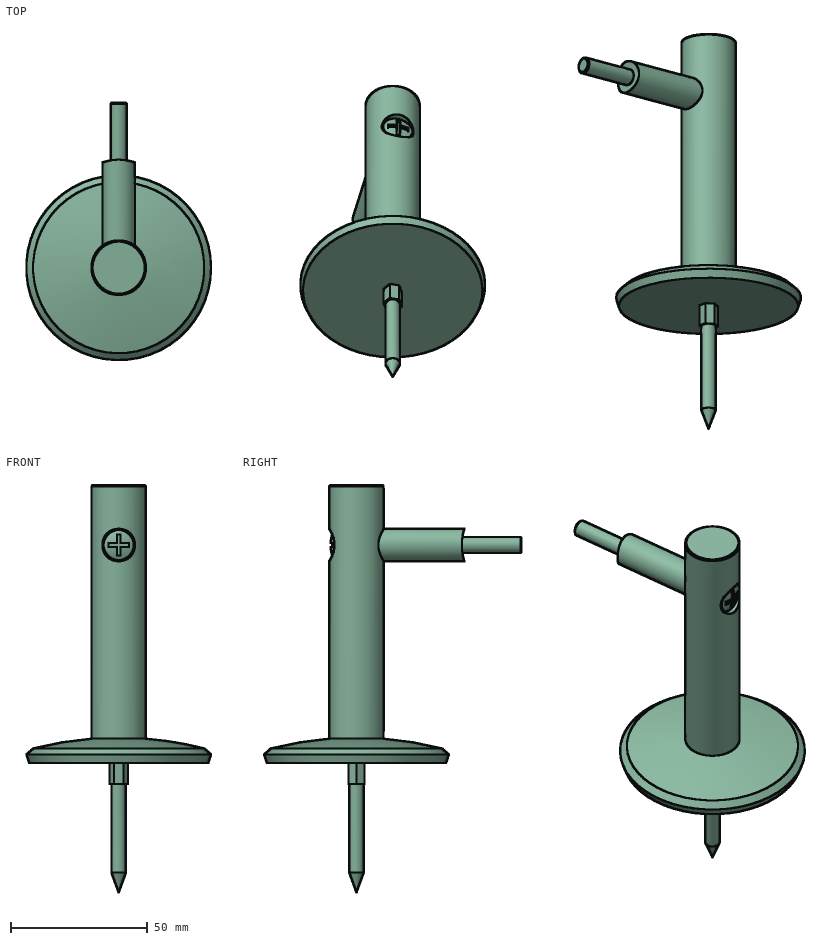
import cadquery as cq
import math


BASE_RADIUS = 34.0
BASE_BOTTOM_RADIUS = 33.0
RIM_HEIGHT = 3.1
DOME_EDGE_RADIUS = 31.5
DOME_EDGE_HEIGHT = 5.4
BASE_HEIGHT = 9.0

POST_RADIUS = 10.0
POST_TOP = 102.1
POST_CHAMFER = 0.5

SLEEVE_RADIUS = 6.0
SLEEVE_END = 39.7
RAIL_RADIUS = 19.0
ARM_BELOW_TOP = 22.0
ARM_HEIGHT = POST_TOP - ARM_BELOW_TOP

SHANK_RADIUS = 3.0
SHANK_END = 60.7
SHANK_CHAMFER = 0.5
HEAD_RADIUS = 5.5
HEAD_TOP = -9.6
HEAD_RIM = -8.2
HEAD_SEAT = -6.0
COUNTERBORE_RADIUS = SLEEVE_RADIUS
CROSS_LENGTH = 7.6
CROSS_WIDTH = 1.3
CROSS_DEPTH = 1.2

TOTAL_HEIGHT = 149.8
HEX_ACROSS_FLATS = 6.0
HEX_HEIGHT = 7.8
SPIKE_RADIUS = 2.7
POINT_LENGTH = 7.3
SPIKE_LENGTH = TOTAL_HEIGHT - POST_TOP


def cylinder_along_y(radius, y_start, y_end):
    """Cylinder on the arm axis between two Y positions."""
    plane = cq.Plane(origin=(0, y_start, ARM_HEIGHT), xDir=(1, 0, 0), normal=(0, 1, 0))
    return cq.Workplane(plane).circle(radius).extrude(y_end - y_start)


def make_base():
    """Disc whose spherical top is centred on the Z axis and ends in a flat seat for the post."""
    radial_term = DOME_EDGE_RADIUS**2 - POST_RADIUS**2
    height_term = BASE_HEIGHT**2 - DOME_EDGE_HEIGHT**2
    sphere_centre = (height_term - radial_term) / (2 * (BASE_HEIGHT - DOME_EDGE_HEIGHT))
    sphere_radius = math.hypot(POST_RADIUS, BASE_HEIGHT - sphere_centre)
    arc_mid_radius = (POST_RADIUS + DOME_EDGE_RADIUS) / 2
    arc_mid_height = sphere_centre + math.sqrt(sphere_radius**2 - arc_mid_radius**2)
    return (
        cq.Workplane("XZ")
        .moveTo(0, 0)
        .lineTo(BASE_BOTTOM_RADIUS, 0)
        .lineTo(BASE_RADIUS, RIM_HEIGHT)
        .lineTo(DOME_EDGE_RADIUS, DOME_EDGE_HEIGHT)
        .threePointArc((arc_mid_radius, arc_mid_height), (POST_RADIUS, BASE_HEIGHT))
        .lineTo(0, BASE_HEIGHT)
        .close()
        .revolve(360, (0, 0), (0, 1))
    )


def make_post():
    """Cylinder with a bevelled top, cross-drilled and counterbored for the screw."""
    post = (
        cq.Workplane("XY", origin=(0, 0, BASE_HEIGHT))
        .circle(POST_RADIUS)
        .extrude(POST_TOP - BASE_HEIGHT)
        .faces(">Z")
        .chamfer(POST_CHAMFER)
    )
    counterbore = cylinder_along_y(COUNTERBORE_RADIUS, -POST_RADIUS, HEAD_SEAT)
    screw_hole = cylinder_along_y(SHANK_RADIUS, HEAD_SEAT, POST_RADIUS)
    return post.cut(counterbore).cut(screw_hole)


def make_sleeve():
    """Tube saddled to the post at one end and to the rail at the other."""
    sleeve = cylinder_along_y(SLEEVE_RADIUS, 0, SLEEVE_END)
    post_cylinder = cq.Workplane("XY").circle(POST_RADIUS).extrude(POST_TOP)
    rail_centre = SLEEVE_END + math.sqrt(RAIL_RADIUS**2 - SLEEVE_RADIUS**2)
    rail = (
        cq.Workplane("YZ")
        .center(rail_centre, ARM_HEIGHT)
        .circle(RAIL_RADIUS)
        .extrude(SLEEVE_RADIUS, both=True)
    )
    screw_hole = cylinder_along_y(SHANK_RADIUS, 0, SLEEVE_END)
    return sleeve.cut(post_cylinder).cut(rail).cut(screw_hole)


def make_screw():
    """Screw with a domed head, a cross recess and a bevelled shank end."""
    dome_height = HEAD_RIM - HEAD_TOP
    dome_radius = (HEAD_RADIUS**2 + dome_height**2) / (2 * dome_height)
    arc_mid_radius = HEAD_RADIUS / 2
    arc_mid_y = HEAD_TOP + dome_radius - math.sqrt(dome_radius**2 - arc_mid_radius**2)
    screw = (
        cq.Workplane("XY", origin=(0, 0, ARM_HEIGHT))
        .moveTo(0, HEAD_TOP)
        .threePointArc((arc_mid_radius, arc_mid_y), (HEAD_RADIUS, HEAD_RIM))
        .lineTo(HEAD_RADIUS, HEAD_SEAT)
        .lineTo(SHANK_RADIUS, HEAD_SEAT)
        .lineTo(SHANK_RADIUS, SHANK_END - SHANK_CHAMFER)
        .lineTo(SHANK_RADIUS - SHANK_CHAMFER, SHANK_END)
        .lineTo(0, SHANK_END)
        .close()
        .revolve(360, (0, 0), (0, 1))
    )
    recess_centre = (0, HEAD_TOP + CROSS_DEPTH / 2, ARM_HEIGHT)
    for width, height in ((CROSS_LENGTH, CROSS_WIDTH), (CROSS_WIDTH, CROSS_LENGTH)):
        slot = cq.Workplane("XY").box(width, CROSS_DEPTH, height).translate(recess_centre)
        screw = screw.cut(slot)
    return screw


def make_spike():
    """Hexagonal collar under the base with a round shaft that ends in a point."""
    hex_across_corners = HEX_ACROSS_FLATS / math.cos(math.pi / 6)
    collar = cq.Workplane("XY").polygon(6, hex_across_corners).extrude(-HEX_HEIGHT)
    shaft = (
        cq.Workplane("XZ")
        .moveTo(0, 0)
        .lineTo(SPIKE_RADIUS, 0)
        .lineTo(SPIKE_RADIUS, POINT_LENGTH - SPIKE_LENGTH)
        .lineTo(0, -SPIKE_LENGTH)
        .close()
        .revolve(360, (0, 0), (0, 1))
    )
    return collar.union(shaft)


base = make_base()
post = make_post()
sleeve = make_sleeve()
screw = make_screw()
spike = make_spike()

result = cq.Compound.makeCompound(
    [base.val(), post.val(), sleeve.val(), screw.val(), spike.val()]
)